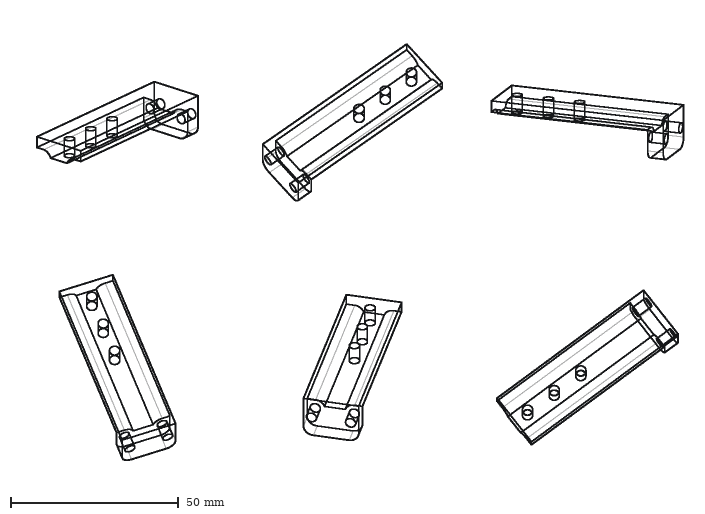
import cadquery as cq

width = 17.0
length = 55.0
height = 13.0

plate_thickness = 3.5
arm_thickness = 5.5

wall_thickness = 5.0
wall_corner_radius = 3.0
hole_diameter = 3.1
wall_hole_spacing = 12.0
wall_hole_depth_below_top = 6.5
screw_head_relief_radius = 3.0

arm_hole_count = 3
arm_hole_pitch = 10.0
first_arm_hole_from_end = 5.0

wall_front = length - wall_thickness


def box(size_x, size_y, size_z, start_y, top_z):
    """Box centred on X, starting at start_y and hanging down from top_z."""
    return (
        cq.Workplane("XY")
        .box(size_x, size_y, size_z, centered=(True, False, False))
        .translate((0, start_y, top_z - size_z))
    )


def cylinder_along_y(radius, start_y, depth, x, z):
    """Cylinder running in +Y from start_y."""
    return (
        cq.Workplane("XZ", origin=(x, start_y, z))
        .circle(radius)
        .extrude(-depth)
    )


def make_arm():
    """Plate with a rib left between two round-topped side channels."""
    arm = box(width, wall_front, arm_thickness, 0, 0)
    side_width = width / 2 - wall_hole_spacing / 2
    for side in (-1, 1):
        x = side * wall_hole_spacing / 2
        arm = arm.cut(cylinder_along_y(
            screw_head_relief_radius, 0, wall_front, x, -wall_hole_depth_below_top))
        edge_strip = box(side_width, wall_front, arm_thickness - plate_thickness, 0, -plate_thickness)
        arm = arm.cut(edge_strip.translate((side * (width - side_width) / 2, 0, 0)))
    return arm


def make_wall():
    """End wall with rounded lower corners and two mounting holes."""
    wall = box(width, wall_thickness, height, wall_front, 0)
    wall = wall.edges("|Y and <Z").fillet(wall_corner_radius)
    for side in (-1, 1):
        wall = wall.cut(cylinder_along_y(
            hole_diameter / 2, wall_front, wall_thickness,
            side * wall_hole_spacing / 2, -wall_hole_depth_below_top))
    return wall


def drill_arm_holes(body):
    """Row of holes straight down through plate and rib."""
    for index in range(arm_hole_count):
        y = first_arm_hole_from_end + index * arm_hole_pitch
        drill = cq.Workplane("XY", origin=(0, y, 0)).circle(hole_diameter / 2).extrude(-arm_thickness)
        body = body.cut(drill)
    return body


result = drill_arm_holes(make_arm().union(make_wall()))